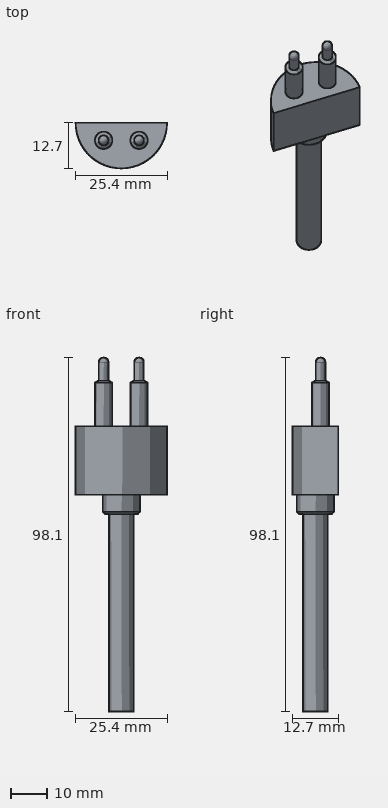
import cadquery as cq

total_length = 98.1

body_width = 25.4
body_radius = body_width / 2
body_bottom = 60.0
body_top = 79.1

cable_diameter = 7.0
collar_diameter = 10.4
collar_bottom = 54.7
collar_chamfer = 0.7
cable_y = -body_radius / 2

pin_diameter = 4.8
pin_spacing = 9.8
pin_y = -4.9
shoulder_bottom = 91.1
shoulder_top = 91.7
tip_diameter = 2.7
tip_radius = tip_diameter / 2


def make_body():
    """Half-round block with the round side towards -Y."""
    return (
        cq.Workplane("XY", origin=(0, 0, body_bottom))
        .moveTo(-body_radius, 0)
        .threePointArc((0, -body_radius), (body_radius, 0))
        .close()
        .extrude(body_top - body_bottom)
    )


def make_cable():
    """Cable running down from the body."""
    return cq.Workplane("XY", origin=(0, cable_y, 0)).circle(cable_diameter / 2).extrude(body_bottom)


def make_collar():
    """Collar below the body with a chamfered lower rim."""
    return (
        cq.Workplane("XY", origin=(0, cable_y, collar_bottom))
        .circle(collar_diameter / 2)
        .extrude(body_bottom - collar_bottom)
        .faces("<Z")
        .chamfer(collar_chamfer)
    )


def make_pin(pin_x):
    """Stepped pin with a conical shoulder and a hemispherical tip, revolved about its axis."""
    pin_radius = pin_diameter / 2
    dome_base = total_length - tip_radius
    dome_middle = (tip_radius * 0.5**0.5, dome_base + tip_radius * 0.5**0.5)
    return (
        cq.Workplane("XZ")
        .moveTo(0, body_top)
        .lineTo(pin_radius, body_top)
        .lineTo(pin_radius, shoulder_bottom)
        .lineTo(tip_radius, shoulder_top)
        .lineTo(tip_radius, dome_base)
        .threePointArc(dome_middle, (0, total_length))
        .close()
        .revolve(360, (0, 0, 0), (0, 1, 0))
        .translate((pin_x, pin_y, 0))
    )


result = make_body().union(make_cable()).union(make_collar())
for side in (-1, 1):
    result = result.union(make_pin(side * pin_spacing / 2))